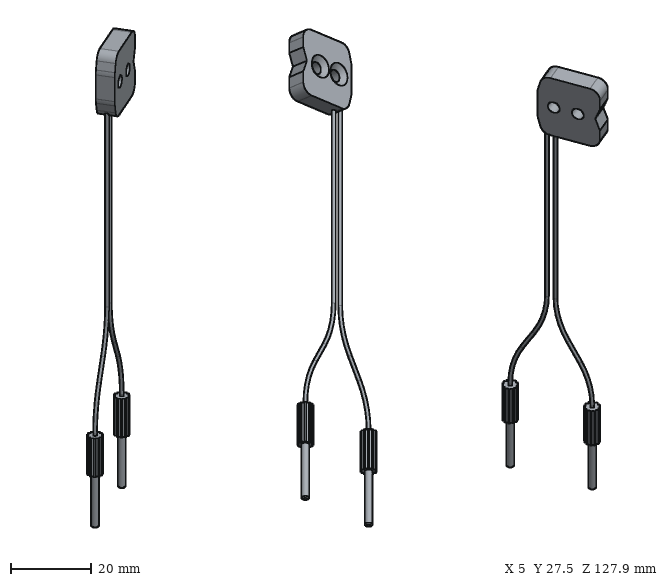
import cadquery as cq
import math

TOTAL_HEIGHT = 127.9

BLOCK_THICKNESS = 5.0
BLOCK_DEPTH = 17.0
BLOCK_HEIGHT = 18.0
BLOCK_BOTTOM = TOTAL_HEIGHT - BLOCK_HEIGHT
BLOCK_MIDDLE = TOTAL_HEIGHT - BLOCK_HEIGHT / 2
CORNER_RADIUS = 2.8
TAPER_HEIGHT = 5.0
TAPER_ANGLE = 15.0
SHOULDER_RADIUS = 5.0
NOTCH_DEPTH = 1.3
NOTCH_HALF_HEIGHT = 3.3

HOLE_DIAMETER = 3.2
SINK_DIAMETER = 6.0
SINK_ANGLE = 90.0
FRONT_HOLE_Y = 4.5
HOLE_SPACING = 6.5

WIRE_DIAMETER = 1.0
WIRE_MIDDLE_Y = 2.7
WIRE_SPACING = 2.3
WIRE_EMBED = 3.8
BEND_RADIUS = 25.0
BEND_ANGLE = math.radians(30.0)

PLUG_SPACING = 22.3
PIN_DIAMETER = 2.0
PIN_LENGTH = 15.0
PIN_CHAMFER = 0.4
SLEEVE_DIAMETER = 4.1
SLEEVE_LENGTH = 10.7
SLEEVE_TOP = PIN_LENGTH + SLEEVE_LENGTH
SLEEVE_RADIUS = SLEEVE_DIAMETER / 2
FLUTE_COUNT = 12
FLUTE_RADIUS = 0.32
WIRE_STUB = 0.6


def make_block():
    taper_depth = TAPER_HEIGHT * math.tan(math.radians(TAPER_ANGLE))
    outline = (
        cq.Workplane("YZ", origin=(-BLOCK_THICKNESS / 2, 0, 0))
        .moveTo(taper_depth, BLOCK_BOTTOM)
        .lineTo(BLOCK_DEPTH, BLOCK_BOTTOM)
        .lineTo(BLOCK_DEPTH, BLOCK_MIDDLE - NOTCH_HALF_HEIGHT)
        .lineTo(BLOCK_DEPTH - NOTCH_DEPTH, BLOCK_MIDDLE)
        .lineTo(BLOCK_DEPTH, BLOCK_MIDDLE + NOTCH_HALF_HEIGHT)
        .lineTo(BLOCK_DEPTH, TOTAL_HEIGHT)
        .lineTo(taper_depth, TOTAL_HEIGHT)
        .lineTo(0, TOTAL_HEIGHT - TAPER_HEIGHT)
        .lineTo(0, BLOCK_BOTTOM + TAPER_HEIGHT)
        .close()
    )
    block = outline.extrude(BLOCK_THICKNESS)
    block = block.faces("<Z or >Z").edges("|X").fillet(CORNER_RADIUS)
    return block.faces("<Y").edges("|X").fillet(SHOULDER_RADIUS)


def drill_holes(block):
    """Two through holes, countersunk from the -X side."""
    sink_face = cq.Plane(
        origin=(-BLOCK_THICKNESS / 2, FRONT_HOLE_Y, BLOCK_MIDDLE),
        xDir=(0, -1, 0),
        normal=(-1, 0, 0),
    )
    return (
        block.copyWorkplane(cq.Workplane(sink_face))
        .pushPoints([(0, 0), (-HOLE_SPACING, 0)])
        .cskHole(HOLE_DIAMETER, SINK_DIAMETER, SINK_ANGLE)
    )


def make_wire(side):
    """One wire; side is +1 or -1, the way it bends along Y."""
    start_y = WIRE_MIDDLE_Y + side * WIRE_SPACING / 2
    end_y = WIRE_MIDDLE_Y + side * PLUG_SPACING / 2
    bend_y = BEND_RADIUS * (1 - math.cos(BEND_ANGLE))
    bend_z = BEND_RADIUS * math.sin(BEND_ANGLE)
    half_y = BEND_RADIUS * (1 - math.cos(BEND_ANGLE / 2))
    half_z = BEND_RADIUS * math.sin(BEND_ANGLE / 2)
    slant_y = (PLUG_SPACING - WIRE_SPACING) / 2 - 2 * bend_y
    slant_z = slant_y / math.tan(BEND_ANGLE)
    lower_z = SLEEVE_TOP + WIRE_STUB
    upper_z = lower_z + 2 * bend_z + slant_z
    top_z = BLOCK_BOTTOM + WIRE_EMBED
    path = (
        cq.Workplane("YZ")
        .moveTo(start_y, top_z)
        .lineTo(start_y, upper_z)
        .threePointArc(
            (start_y + side * half_y, upper_z - half_z),
            (start_y + side * bend_y, upper_z - bend_z),
        )
        .lineTo(end_y - side * bend_y, lower_z + bend_z)
        .threePointArc((end_y - side * half_y, lower_z + half_z), (end_y, lower_z))
        .lineTo(end_y, SLEEVE_TOP - WIRE_STUB)
    )
    profile = cq.Workplane("XY", origin=(0, start_y, top_z)).circle(WIRE_DIAMETER / 2)
    return profile.sweep(path)


def make_plug(side):
    """Pin and fluted sleeve at the lower end of the wire on the same side."""
    plug_y = WIRE_MIDDLE_Y + side * PLUG_SPACING / 2
    pin = (
        cq.Workplane("XY", origin=(0, plug_y, 0))
        .circle(PIN_DIAMETER / 2)
        .extrude(PIN_LENGTH)
        .faces("<Z")
        .chamfer(PIN_CHAMFER)
    )
    flutes = (
        cq.Workplane("XY", origin=(0, plug_y, PIN_LENGTH))
        .polarArray(SLEEVE_RADIUS, 0, 360, FLUTE_COUNT)
        .circle(FLUTE_RADIUS)
        .extrude(SLEEVE_LENGTH)
    )
    sleeve = (
        cq.Workplane("XY", origin=(0, plug_y, PIN_LENGTH))
        .circle(SLEEVE_RADIUS)
        .extrude(SLEEVE_LENGTH)
        .cut(flutes)
    )
    return pin.union(sleeve)


result = drill_holes(make_block())
for side in (-1, 1):
    result = result.union(make_wire(side)).union(make_plug(side))